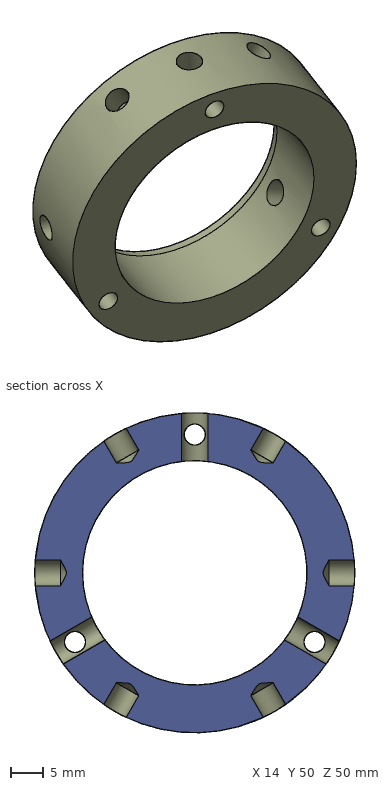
import cadquery as cq

outer_diameter = 50.0
length = 14.0
collar_diameter = 39.0
collar_length = 0.5
bore_diameter = 35.0
counterbore_diameter = 35.5
counterbore_depth = 1.5

hole_diameter = 4.1
blind_hole_x = 5.0
blind_hole_depth = 4.0
blind_hole_tip_length = 1.2
blind_hole_angles = range(0, 360, 60)
through_hole_x = 5.5
through_hole_angles = range(90, 450, 120)

axial_hole_diameter = 3.25
axial_hole_pitch_radius = 21.6

outer_radius = outer_diameter / 2
hole_radius = hole_diameter / 2


def disc(diameter, start_x, end_x):
    """Solid cylinder around the X axis between two X positions."""
    return cq.Workplane("YZ").workplane(offset=start_x).circle(diameter / 2).extrude(end_x - start_x)


def place_radially(cutter, x, angle):
    """Move a cutter made along +Y to position x, turned about X from +Y towards +Z."""
    return cutter.rotate((0, 0, 0), (1, 0, 0), angle).translate((x, 0, 0))


def make_ring():
    body = disc(outer_diameter, collar_length, length)
    collar = disc(collar_diameter, 0, collar_length)
    bore = disc(bore_diameter, 0, length)
    counterbore = disc(counterbore_diameter, 0, counterbore_depth)
    return body.union(collar).cut(bore).cut(counterbore)


def make_blind_hole():
    """Drilled hole with a conical tip, pointing inward along Y."""
    shoulder = outer_radius - blind_hole_depth
    tip = shoulder - blind_hole_tip_length
    profile = [(0, tip), (hole_radius, shoulder), (hole_radius, outer_radius), (0, outer_radius)]
    return cq.Workplane("XY").polyline(profile).close().revolve(360, (0, 0, 0), (0, 1, 0))


def make_through_hole():
    """Straight hole from the ring axis out through one wall."""
    return cq.Workplane("XZ").circle(hole_radius).extrude(-outer_radius)


def make_axial_hole():
    """Hole along X from the middle of a through hole to the right face, centred on the Y axis."""
    hole_length = length - through_hole_x
    return (
        cq.Workplane("YZ")
        .center(axial_hole_pitch_radius, 0)
        .circle(axial_hole_diameter / 2)
        .extrude(hole_length)
    )


result = make_ring()
for angle in blind_hole_angles:
    result = result.cut(place_radially(make_blind_hole(), blind_hole_x, angle))
for angle in through_hole_angles:
    result = result.cut(place_radially(make_through_hole(), through_hole_x, angle))
    result = result.cut(place_radially(make_axial_hole(), through_hole_x, angle))